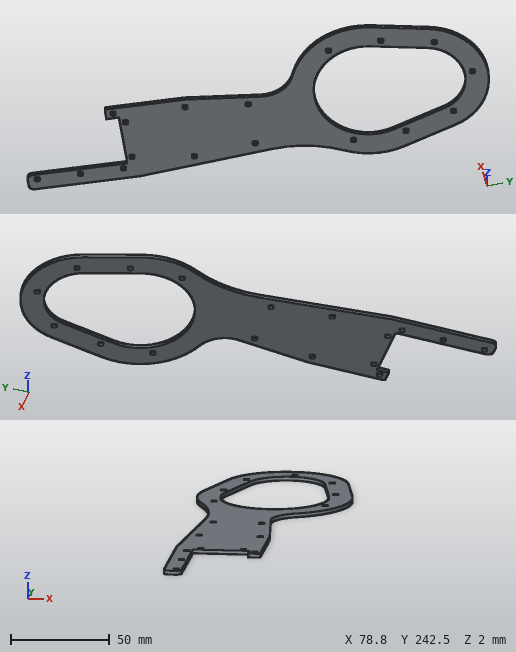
import cadquery as cq
import math

length = 242.5
head_width = 78.8
thickness = 2.0
hole_diameter = 2.7

ring_width = 11.9
head_radius = head_width / 2
tip_radius = 31.8
tip_offset = 30.0

lower_tilt = math.radians(4)
neck_taper = math.radians(10)
neck_left_x = -23.5
bend_x = -27.0
bend_y = -124.4
left_blend_radius = 67.9
right_blend_radius = 17.2

lower_width = 43.9
right_bend_rise = 29.8
foot_width = 9.0
notch_depth = 5.0
tab_width = 6.0
tab_end = 11.5
foot_corner_radius = 3.0
small_corner_radius = 1.0

head_tip_hole_y = 54.0
head_side_holes = [(22.0, 39.3), (28.8, 13.0), (28.5, -14.0)]
neck_holes = [(4.8, -61.0), (-19.6, -63.0), (10.2, -92.5), (-20.8, -94.8)]
foot_hole_across = 6.0
foot_hole_start = 7.5
foot_hole_pitch = 22.0
foot_hole_count = 3
tab_hole_across = 40.7
notch_hole_down = 2.2
notch_holes_across = [12.5, 34.5]


def lower_point(across, down):
    """Convert tilted lower-handle coordinates to part coordinates."""
    x = bend_x + across * math.cos(lower_tilt) + down * math.sin(lower_tilt)
    y = bend_y + across * math.sin(lower_tilt) - down * math.cos(lower_tilt)
    return x, y


def egg(base_radius, end_radius):
    """Plate bounded by two circles on the Y axis and their tangent lines."""
    tangent_angle = math.asin((base_radius - end_radius) / tip_offset)
    side_x = math.cos(tangent_angle)
    side_y = math.sin(tangent_angle)
    base_x, base_y = base_radius * side_x, base_radius * side_y
    end_x, end_y = end_radius * side_x, tip_offset + end_radius * side_y
    return (
        cq.Workplane("XY")
        .moveTo(base_x, base_y)
        .lineTo(end_x, end_y)
        .threePointArc((0, tip_offset + end_radius), (-end_x, end_y))
        .lineTo(-base_x, base_y)
        .threePointArc((0, -base_radius), (base_x, base_y))
        .close()
        .extrude(thickness)
    )


def fillet_near(body, point, radius):
    """Round the upright edge closest to a point in plan."""
    nearest = cq.selectors.NearestToPointSelector((*point, thickness / 2))
    return body.edges("|Z").edges(nearest).fillet(radius)


def handle():
    """Neck, foot and tab, with the notch between the foot and the tab."""
    right_bend = lower_point(lower_width, -right_bend_rise)
    neck_right_x = right_bend[0] + right_bend[1] * math.tan(neck_taper)
    tab_left = lower_width - tab_width
    notch_corner = lower_point(foot_width, notch_depth)
    tab_corner = lower_point(lower_width, tab_end)
    rounding_lift = foot_corner_radius * (math.cos(lower_tilt) + math.sin(lower_tilt) - 1)
    lowest_y = tip_offset + tip_radius - length - rounding_lift
    foot_length = (bend_y - lowest_y) / math.cos(lower_tilt)
    foot_corners = [lower_point(0, foot_length), lower_point(foot_width, foot_length)]
    body = (
        cq.Workplane("XY")
        .polyline([
            (neck_left_x, 0),
            (bend_x, bend_y),
            *foot_corners,
            notch_corner,
            lower_point(tab_left, notch_depth),
            lower_point(tab_left, tab_end),
            tab_corner,
            right_bend,
            (neck_right_x, 0),
        ])
        .close()
        .extrude(thickness)
    )
    for corner in foot_corners:
        body = fillet_near(body, corner, foot_corner_radius)
    for corner in [notch_corner, tab_corner]:
        body = fillet_near(body, corner, small_corner_radius)
    return body


def hole_centres():
    """All hole centres on the head, neck and lower part."""
    centres = [(0, head_tip_hole_y), *neck_holes]
    for x, y in head_side_holes:
        centres += [(x, y), (-x, y)]
    for index in range(foot_hole_count):
        down = foot_hole_start + index * foot_hole_pitch
        centres.append(lower_point(foot_hole_across, down))
    centres.append(lower_point(tab_hole_across, foot_hole_start))
    centres += [lower_point(across, notch_hole_down) for across in notch_holes_across]
    return centres


plate = egg(head_radius, tip_radius).union(handle())
left_junction = (neck_left_x, -math.sqrt(head_radius**2 - neck_left_x**2))
right_junction = (0, -head_radius)
plate = fillet_near(plate, left_junction, left_blend_radius)
plate = fillet_near(plate, right_junction, right_blend_radius)

plate = plate.cut(egg(head_radius - ring_width, tip_radius - ring_width))
holes = cq.Workplane("XY").pushPoints(hole_centres()).circle(hole_diameter / 2).extrude(thickness)
result = plate.cut(holes)